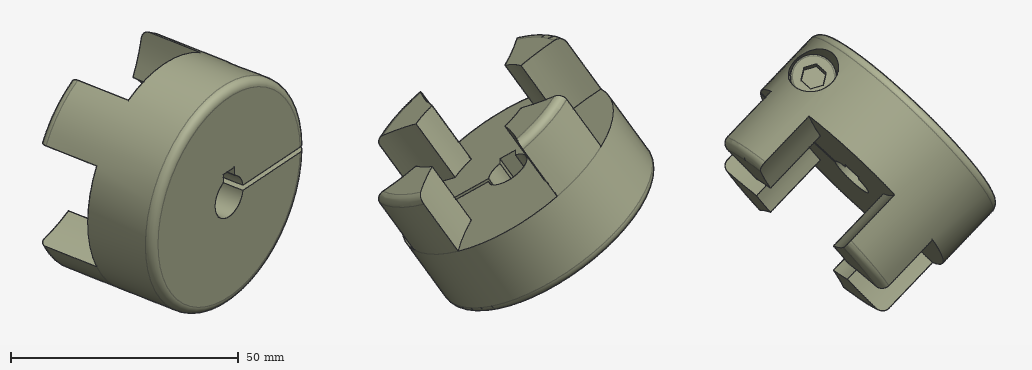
import cadquery as cq
import math

outer_radius = 27.5
hub_length = 18.0
jaw_length = 16.0
edge_radius = 2.0
total_length = hub_length + jaw_length
jaw_face_x = -jaw_length

jaw_count = 4
jaw_inner_radius = 16.6
inner_half_angle = 10.3
outer_half_angle = 17.1
flank_hollow = 0.41

bore_radius = 5.0
key_width = 4.0
key_top = 6.7
slit_width = 1.3

screw_x = hub_length / 2
screw_y = 19.95
shank_radius = 3.0
head_radius = 5.0
head_height = 6.0
head_edge = 0.4
head_top = 11.55
seat_z = head_top - head_height
counterbore_radius = 5.5
hex_flats = 5.0
hex_depth = 3.0


def polar(radius, angle):
    """Point in the YZ plane, with the angle in degrees from +Y."""
    return (radius * math.cos(math.radians(angle)), radius * math.sin(math.radians(angle)))


def rounded_cylinder(start_x, length, rounded_face):
    disc = cq.Workplane("YZ", origin=(start_x, 0, 0)).circle(outer_radius).extrude(length)
    return disc.faces(rounded_face).edges().fillet(edge_radius)


def jaw_prism(center_angle):
    """Jaw outline along the hub axis, reaching to the outer cylinder."""
    def flank(side):
        inner = polar(jaw_inner_radius, side * inner_half_angle)
        outer = polar(outer_radius, side * outer_half_angle)
        run = outer[0] - inner[0]
        rise = outer[1] - inner[1]
        length = math.hypot(run, rise)
        middle = (
            (inner[0] + outer[0]) / 2 + side * flank_hollow * rise / length,
            (inner[1] + outer[1]) / 2 - side * flank_hollow * run / length,
        )
        return inner, middle, outer

    low_inner, low_middle, low_outer = flank(-1)
    high_inner, high_middle, high_outer = flank(1)
    outline = (
        cq.Workplane("YZ", origin=(jaw_face_x, 0, 0))
        .moveTo(*low_inner)
        .threePointArc(low_middle, low_outer)
        .threePointArc((outer_radius, 0), high_outer)
        .threePointArc(high_middle, high_inner)
        .threePointArc((jaw_inner_radius, 0), low_inner)
        .close()
    )
    return outline.extrude(jaw_length).rotate((0, 0, 0), (1, 0, 0), center_angle)


def along_hub(width, height, center_y, center_z):
    """Box running the whole length of the hub, for cutting."""
    return cq.Workplane("YZ").center(center_y, center_z).rect(width, height).extrude(hub_length)


def screw_cylinder(radius, bottom_z, height):
    return cq.Workplane("XY", origin=(screw_x, screw_y, bottom_z)).circle(radius).extrude(height)


def clamp_screw():
    shank = screw_cylinder(shank_radius, -slit_width, seat_z + slit_width)
    head = screw_cylinder(head_radius, seat_z, head_height).faces(">Z").edges().fillet(head_edge)
    hex_socket = (
        cq.Workplane("XY", origin=(screw_x, screw_y, head_top - hex_depth))
        .transformed(rotate=(0, 0, 90))
        .polygon(6, hex_flats / math.cos(math.pi / 6))
        .extrude(hex_depth)
    )
    return shank.union(head).cut(hex_socket)


hub = rounded_cylinder(0, hub_length, ">X")
hub = hub.cut(cq.Workplane("YZ").circle(bore_radius).extrude(hub_length))
hub = hub.cut(along_hub(key_width, key_top, 0, key_top / 2))
hub = hub.cut(along_hub(outer_radius, slit_width, outer_radius / 2, 0))
hub = hub.cut(screw_cylinder(counterbore_radius, seat_z, outer_radius))

jaw_envelope = rounded_cylinder(jaw_face_x, total_length, "<X")
for index in range(jaw_count):
    jaw_angle = (index + 0.5) * 360 / jaw_count
    hub = hub.union(jaw_prism(jaw_angle).intersect(jaw_envelope))

result = hub.union(clamp_screw())